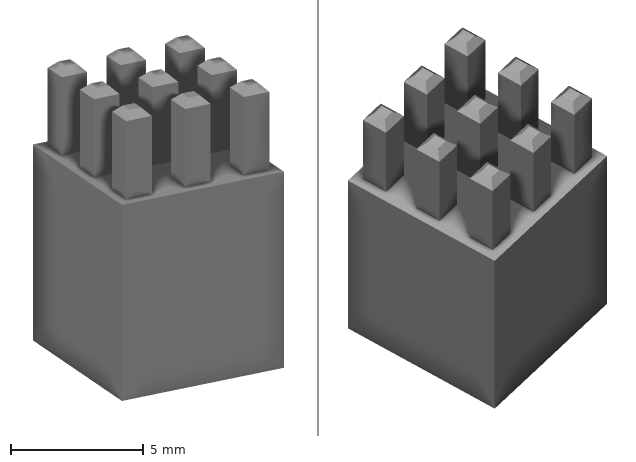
import cadquery as cq

total_height = 11.5
body_width = 7.0
body_height = 8.0

pins_per_side = 3
pin_pitch = 2.54
pin_width = 1.1
pin_height = total_height - body_height
tip_chamfer = 0.3


def make_body():
    """Square block standing on the XY plane."""
    return cq.Workplane("XY").box(body_width, body_width, body_height, centered=(True, True, False))


def make_pins():
    """Grid of square pins on the body's top face, each with a chamfered tip."""
    return (
        cq.Workplane("XY")
        .workplane(offset=body_height)
        .rarray(pin_pitch, pin_pitch, pins_per_side, pins_per_side)
        .rect(pin_width, pin_width)
        .extrude(pin_height)
        .faces(">Z")
        .edges()
        .chamfer(tip_chamfer)
    )


result = make_body().union(make_pins())